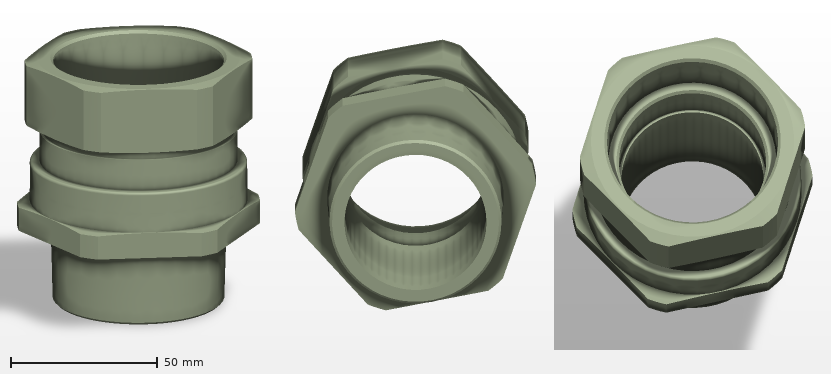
import cadquery as cq
import math

TOTAL_HEIGHT = 86.75
LOWER_HEX_BOTTOM = 26.8
LOWER_HEX_TOP = 35.9
COLLAR_TOP = 50.05
SLEEVE_BOTTOM = 49.0
SLEEVE_TOP = 60.9
UPPER_HEX_BOTTOM = 63.85

LOWER_HEX_FLATS = 75.0
LOWER_HEX_CORNER_RADIUS = 41.55
UPPER_HEX_FLATS = 70.5
UPPER_HEX_CORNER_RADIUS = 38.95
HEX_BEVEL_ANGLE = 10.0
HEX_BEVEL_INSET = 0.5

SPIGOT_TOP_RADIUS = 30.2
SPIGOT_BOTTOM_RADIUS = 29.4
SPIGOT_CHAMFER = 0.9
COLLAR_BOTTOM_RADIUS = 37.3
COLLAR_TOP_RADIUS = 37.2
COLLAR_FILLET = 0.9
SLEEVE_RADIUS = 33.9
NECK_RADIUS = 33.0

BORE_RADIUS = 24.3
SLEEVE_BORE_RADIUS = 25.2
SLEEVE_BORE_CHAMFER = 0.9
SOCKET_FLOOR = 66.45
SOCKET_FLOOR_RADIUS = 28.7
SOCKET_MOUTH_RADIUS = 29.2
SOCKET_CHAMFER = 0.95


def revolve_profile(points):
    """Turn a closed outline of (radius, height) points about the Z axis."""
    return cq.Workplane("XZ").polyline(points).close().revolve(360, (0, 0), (0, 1))


def hex_block(flats, corner_radius, bottom, top, bevel_bottom):
    """Hexagon with corners on +Y and -Y, turned corners and conical end bevels."""
    corner_diameter = flats / math.cos(math.radians(30))
    prism = (
        cq.Workplane("XY", origin=(0, 0, bottom))
        .polygon(6, corner_diameter)
        .extrude(top - bottom)
        .rotate((0, 0, 0), (0, 0, 1), 90)
    )
    bevel_radius = flats / 2 - HEX_BEVEL_INSET
    bevel_drop = (corner_radius - bevel_radius) * math.tan(math.radians(HEX_BEVEL_ANGLE))
    if bevel_bottom:
        lower_rim = [(bevel_radius, bottom), (corner_radius, bottom + bevel_drop)]
    else:
        lower_rim = [(corner_radius, bottom)]
    upper_rim = [(corner_radius, top - bevel_drop), (bevel_radius, top)]
    turned_envelope = revolve_profile([(0, bottom)] + lower_rim + upper_rim + [(0, top)])
    return prism.intersect(turned_envelope)


def make_body():
    """Tapered spigot, lower hexagon and collar around a plain bore with a sleeve recess on top."""
    turned = revolve_profile([
        (0, 0),
        (SPIGOT_BOTTOM_RADIUS - SPIGOT_CHAMFER, 0),
        (SPIGOT_BOTTOM_RADIUS, SPIGOT_CHAMFER),
        (SPIGOT_TOP_RADIUS, LOWER_HEX_BOTTOM),
        (COLLAR_BOTTOM_RADIUS, LOWER_HEX_BOTTOM),
        (COLLAR_BOTTOM_RADIUS, LOWER_HEX_TOP),
        (COLLAR_TOP_RADIUS, COLLAR_TOP),
        (0, COLLAR_TOP),
    ])
    turned = turned.faces(">Z").edges().fillet(COLLAR_FILLET)
    hexagon = hex_block(
        LOWER_HEX_FLATS, LOWER_HEX_CORNER_RADIUS, LOWER_HEX_BOTTOM, LOWER_HEX_TOP, bevel_bottom=False
    )
    bore = cq.Workplane("XY").circle(BORE_RADIUS).extrude(SLEEVE_BOTTOM)
    sleeve_recess = (
        cq.Workplane("XY", origin=(0, 0, SLEEVE_BOTTOM))
        .circle(SLEEVE_RADIUS)
        .extrude(COLLAR_TOP - SLEEVE_BOTTOM)
    )
    return turned.union(hexagon).cut(bore).cut(sleeve_recess)


def make_socket():
    """Sleeve, neck and upper hexagon around a stepped bore with a tapered mouth."""
    turned = revolve_profile([
        (0, SLEEVE_BOTTOM),
        (SLEEVE_RADIUS, SLEEVE_BOTTOM),
        (SLEEVE_RADIUS, SLEEVE_TOP),
        (NECK_RADIUS, SLEEVE_TOP),
        (NECK_RADIUS, UPPER_HEX_BOTTOM),
        (0, UPPER_HEX_BOTTOM),
    ])
    hexagon = hex_block(
        UPPER_HEX_FLATS, UPPER_HEX_CORNER_RADIUS, UPPER_HEX_BOTTOM, TOTAL_HEIGHT, bevel_bottom=True
    )
    cavity = revolve_profile([
        (0, SLEEVE_BOTTOM),
        (SLEEVE_BORE_RADIUS, SLEEVE_BOTTOM),
        (SLEEVE_BORE_RADIUS, SOCKET_FLOOR - SLEEVE_BORE_CHAMFER),
        (SLEEVE_BORE_RADIUS + SLEEVE_BORE_CHAMFER, SOCKET_FLOOR),
        (SOCKET_FLOOR_RADIUS, SOCKET_FLOOR),
        (SOCKET_MOUTH_RADIUS, TOTAL_HEIGHT - SOCKET_CHAMFER),
        (SOCKET_MOUTH_RADIUS + SOCKET_CHAMFER, TOTAL_HEIGHT),
        (0, TOTAL_HEIGHT),
    ])
    return turned.union(hexagon).cut(cavity)


body = make_body()
socket = make_socket()

result = cq.Compound.makeCompound([body.val(), socket.val()])